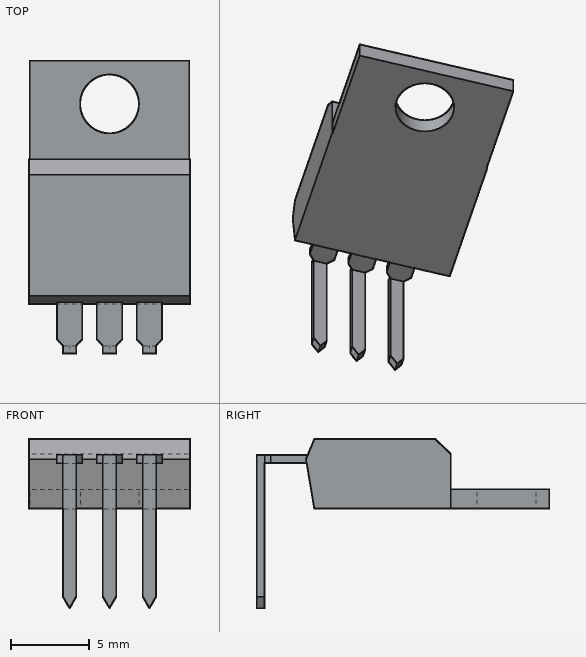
import cadquery as cq


overall_length = 18.64
overall_height = 10.78

tab_width = 10.17
tab_length = 6.27
tab_thickness = 1.25
hole_diameter = 3.73
hole_to_tab_end = 2.75

body_width = 10.25
body_height = 4.44
body_length = 9.23
front_slope = 0.53
ridge_height = 3.15
rear_bevel_length = 1.0
rear_bevel_height = 0.95

lead_pitch = 2.54
lead_offsets = (-lead_pitch, 0, lead_pitch)
lead_thickness = 0.51
lead_top = 3.42
shoulder_width = 1.63
pin_width = 0.86
neck_length = 0.4
tip_height = 0.74
lead_embed = 1.0

body_rear = -tab_length
ridge_y = body_rear - body_length
front_edge = ridge_y + front_slope
lead_outer = -overall_length
lead_inner = lead_outer + lead_thickness
pin_bottom = body_height - overall_height


def make_tab():
    """Flat tab with its mounting hole, reaching into the body up to the rear bevel."""
    tab_end = body_rear - rear_bevel_length
    plate = cq.Workplane("XY").box(tab_width, -tab_end, tab_thickness, centered=(True, False, False))
    plate = plate.translate((0, tab_end, 0))
    hole = cq.Workplane("XY").center(0, -hole_to_tab_end).circle(hole_diameter / 2).extrude(tab_thickness)
    return plate.cut(hole)


def make_body():
    """Side profile in YZ, extruded across the full width."""
    profile = [
        (body_rear, 0),
        (body_rear, body_height - rear_bevel_height),
        (body_rear - rear_bevel_length, body_height),
        (front_edge, body_height),
        (ridge_y, ridge_height),
        (front_edge, 0),
    ]
    return cq.Workplane("YZ").polyline(profile).close().extrude(body_width / 2, both=True)


def make_lead(x):
    """Horizontal shoulder necking down to a pin that bends downwards to a pointed tip."""
    half_shoulder = shoulder_width / 2
    half_pin = pin_width / 2
    shoulder_start = ridge_y + lead_embed
    neck_start = lead_inner + neck_length

    shoulder_outline = [
        (-half_shoulder, shoulder_start),
        (-half_shoulder, neck_start),
        (-half_pin, lead_inner),
        (-half_pin, lead_outer),
        (half_pin, lead_outer),
        (half_pin, lead_inner),
        (half_shoulder, neck_start),
        (half_shoulder, shoulder_start),
    ]
    shoulder = (
        cq.Workplane("XY")
        .workplane(offset=lead_top - lead_thickness)
        .polyline(shoulder_outline)
        .close()
        .extrude(lead_thickness)
    )

    pin_outline = [
        (-half_pin, lead_top),
        (half_pin, lead_top),
        (half_pin, pin_bottom + tip_height),
        (0, pin_bottom),
        (-half_pin, pin_bottom + tip_height),
    ]
    pin = (
        cq.Workplane("XZ", origin=(0, lead_inner, 0))
        .polyline(pin_outline)
        .close()
        .extrude(lead_thickness)
    )
    return shoulder.union(pin).translate((x, 0, 0))


result = make_body().union(make_tab())
for lead_x in lead_offsets:
    result = result.union(make_lead(lead_x))